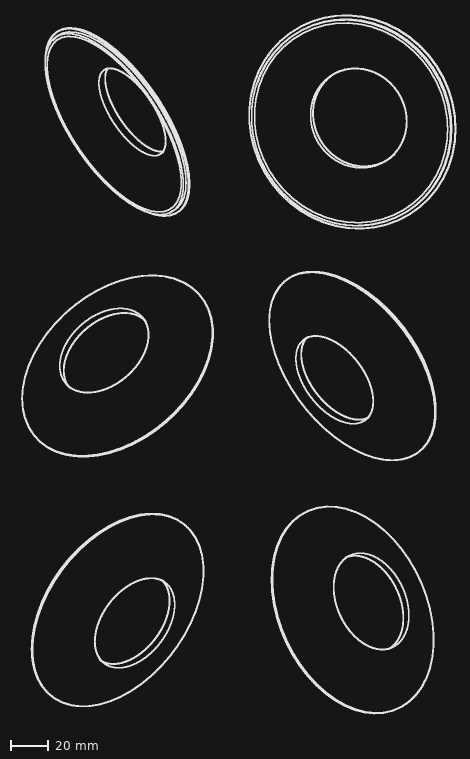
import cadquery as cq

rim_diameter = 116.0
spigot_diameter = 112.0
mouth_diameter = 108.7
bore_diameter = 54.0
depth = 17.3
spigot_height = 1.9
rim_thickness = 0.9
bore_length = 4.5

front = -depth / 2
back = depth / 2
rim_front = front + spigot_height
rim_back = rim_front + rim_thickness

half_section = (
    cq.Workplane("XY")
    .moveTo(mouth_diameter / 2, front)
    .lineTo(spigot_diameter / 2, front)
    .lineTo(spigot_diameter / 2, rim_front)
    .lineTo(rim_diameter / 2, rim_front)
    .lineTo(rim_diameter / 2, rim_back)
    .lineTo(bore_diameter / 2, back)
    .lineTo(bore_diameter / 2, back - bore_length)
    .close()
)

result = half_section.revolve(360, (0, 0, 0), (0, 1, 0))